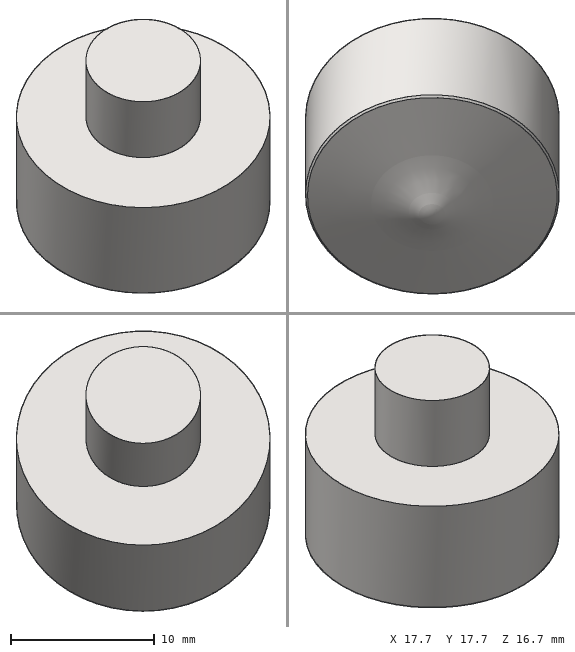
import cadquery as cq
import math

total_height = 16.7
body_radius = 8.85
stud_radius = 4.0
stud_height = 5.61
rim_chamfer = 0.15

tip_radius = 2.0
blend_radius = 10.0
blend_outer_radius = 4.25
steep_angle = math.radians(27)
shallow_angle = math.radians(11)
middle_angle = (steep_angle + shallow_angle) / 2


def tip_point(angle):
    """Point (radius, height) on the tip ball where its slope equals the angle."""
    return tip_radius * math.sin(angle), tip_radius * (1 - math.cos(angle))


tip_edge = tip_point(steep_angle)
blend_inner_radius = blend_outer_radius - blend_radius * (math.sin(steep_angle) - math.sin(shallow_angle))
blend_inner_height = tip_edge[1] + (blend_inner_radius - tip_edge[0]) * math.tan(steep_angle)


def blend_point(angle):
    """Point (radius, height) on the concave blend where its slope equals the angle."""
    radius = blend_inner_radius + blend_radius * (math.sin(steep_angle) - math.sin(angle))
    height = blend_inner_height + blend_radius * (math.cos(angle) - math.cos(steep_angle))
    return radius, height


blend_outer = blend_point(shallow_angle)
cone_outer_radius = body_radius - rim_chamfer
cone_top = blend_outer[1] + (cone_outer_radius - blend_outer_radius) * math.tan(shallow_angle)
shoulder_height = total_height - stud_height

profile = (
    cq.Workplane("XZ")
    .moveTo(0, 0)
    .threePointArc(tip_point(steep_angle / 2), tip_edge)
    .lineTo(*blend_point(steep_angle))
    .threePointArc(blend_point(middle_angle), blend_outer)
    .lineTo(cone_outer_radius, cone_top)
    .lineTo(body_radius, cone_top + rim_chamfer)
    .lineTo(body_radius, shoulder_height)
    .lineTo(stud_radius, shoulder_height)
    .lineTo(stud_radius, total_height)
    .lineTo(0, total_height)
    .close()
)

result = profile.revolve(360, (0, 0, 0), (0, 1, 0))